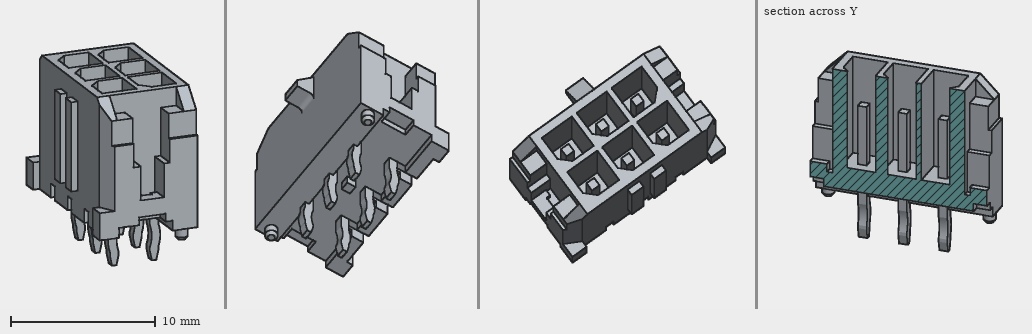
import cadquery as cq


PITCH = 3.0
COLUMNS = 3
COLUMN_XS = [(column - (COLUMNS - 1) / 2) * PITCH for column in range(COLUMNS)]
ROW_YS = [PITCH / 2, -PITCH / 2]

OVERALL_DEPTH = 8.77
OVERALL_HEIGHT = 13.09

WIDTH = 13.15
HALF_WIDTH = WIDTH / 2
BACK_Y = 3.41
FRONT_Y = -3.48
TOP_Z = 9.92
SHELL_HALF_WIDTH = 4.93
POST_HALF_WIDTH = 6.33
SIDE_STEP_Z = 6.73
POST_TOP_Z = 8.54
CORNER_WALL = 0.93

SLOT_BACK_Y = 1.32
SLOT_FRONT_Y = -1.40
SLOT_LEDGE_Z = 5.01
SLOT_NARROW_WIDTH = 1.74
SLOT_FLOOR_Z = 2.53
POCKET_WALL_X = 5.31
POCKET_TONGUE_X = 5.61
POCKET_TONGUE_WIDTH = 0.76
POCKET_DEPTH = 0.6

FRONT_RAISED_Y = -3.97
RAISED_START_Z = 2.0
FOOT_INNER_X = 5.36
BEVEL_SIDE_Y = -2.85
RIB_WIDTH = 1.02
RIB_CENTRE_X = 0.97

CHANNEL_BACK_Y = 1.52
FRONT_WALL = 0.97
CHANNEL_FRONT_Y = FRONT_Y + FRONT_WALL
CHANNEL_HEIGHT = 0.73
END_NOTCH_WIDTH = 2.0
END_NOTCH_TOP_Z = 1.31
END_NOTCH_DEPTH = 1.0
STANDOFF_SIZE = 0.69
TAIL_SLOT_TOP_Z = 1.03

CAVITY_SIZE = 2.58
CAVITY_SHIFT_Y = -0.03
CAVITY_CORNER = 0.74
CAVITY_FLOOR_Z = 2.5

PIN_SIZE = 0.65
PIN_TOP_Z = 7.0
PIN_TIP_Z = TOP_Z - OVERALL_HEIGHT
TIP_WIDTH = 0.33
BEND_START_Z = -0.53
BEND_END_Z = -2.18
TAPER_START_Z = -2.44
BEND_OFFSET = 0.14

PEG_X = 6.0
PEG_Y = 2.43
PEG_DIAMETER = 0.9
PEG_LENGTH = 0.89
PEG_CHAMFER_LENGTH = 0.25
PEG_CHAMFER_WIDTH = 0.2

LATCH_WIDTH = 1.5
LATCH_TIP_Y = FRONT_RAISED_Y + OVERALL_DEPTH
LATCH_TOP_Z = 9.54
LATCH_NOSE_Z = 8.16
LATCH_BOTTOM_Z = 7.44
LATCH_FILLET = 0.37

SIDES = (-1, 1)


def span_box(x_range, y_range, z_range):
    """Box between two X, two Y and two Z planes, each pair in either order."""
    ranges = (x_range, y_range, z_range)
    sizes = [abs(end - start) for start, end in ranges]
    lows = [min(pair) for pair in ranges]
    return cq.Workplane("XY").box(*sizes, centered=False).translate(tuple(lows))


def centred_span(width, centre=0):
    return (centre - width / 2, centre + width / 2)


def housing_block():
    """Stepped front outline with sloped shoulders, extended from front to back."""
    right_side = [
        (HALF_WIDTH, 0),
        (HALF_WIDTH, SIDE_STEP_Z),
        (POST_HALF_WIDTH, SIDE_STEP_Z),
        (POST_HALF_WIDTH, POST_TOP_Z),
        (SHELL_HALF_WIDTH, TOP_Z),
    ]
    left_side = [(-x, z) for x, z in reversed(right_side)]
    outline = cq.Workplane("XZ", origin=(0, BACK_Y, 0)).polyline(right_side + left_side).close()
    return outline.extrude(BACK_Y - FRONT_Y)


def end_slot(side):
    """Stepped slot between the two posts at one end, with the pocket in its floor."""
    x_range = (side * SHELL_HALF_WIDTH, side * HALF_WIDTH)
    narrow_y = centred_span(SLOT_NARROW_WIDTH)
    pocket_z = (SLOT_FLOOR_Z - POCKET_DEPTH, SLOT_FLOOR_Z)
    corner_gap = (FRONT_Y + CORNER_WALL, BACK_Y - CORNER_WALL)
    slot = span_box(x_range, corner_gap, (POST_TOP_Z, TOP_Z))
    slot = slot.union(span_box(x_range, (SLOT_FRONT_Y, SLOT_BACK_Y), (SLOT_LEDGE_Z, TOP_Z)))
    slot = slot.union(span_box(x_range, narrow_y, (SLOT_FLOOR_Z, TOP_Z)))
    for outer_x, y_range in (
        (POCKET_WALL_X, narrow_y),
        (POCKET_TONGUE_X, centred_span(POCKET_TONGUE_WIDTH)),
    ):
        slot = slot.union(span_box((side * SHELL_HALF_WIDTH, side * outer_x), y_range, pocket_z))
    return slot


def corner_bevel(side):
    """Wedge that bevels a front vertical edge above the foot."""
    wedge = [
        (side * FOOT_INNER_X, FRONT_Y),
        (side * HALF_WIDTH, BEVEL_SIDE_Y),
        (side * HALF_WIDTH, FRONT_Y),
    ]
    plane = cq.Workplane("XY", origin=(0, 0, RAISED_START_Z))
    return plane.polyline(wedge).close().extrude(TOP_Z - RAISED_START_Z)


def foot(side):
    x_range = (side * FOOT_INNER_X, side * HALF_WIDTH)
    return span_box(x_range, (FRONT_RAISED_Y, CHANNEL_FRONT_Y), (0, RAISED_START_Z))


def rib(side):
    x_range = centred_span(RIB_WIDTH, side * RIB_CENTRE_X)
    return span_box(x_range, (FRONT_RAISED_Y, FRONT_Y), (RAISED_START_Z, POST_TOP_Z))


def end_notch(side):
    """Opening above the underside channel at one end."""
    x_range = (side * (HALF_WIDTH - END_NOTCH_DEPTH), side * HALF_WIDTH)
    return span_box(x_range, centred_span(END_NOTCH_WIDTH), (0, END_NOTCH_TOP_Z))


def cavity(x, y, keyed_side):
    """Square cavity with its front corner cut off on the keyed side."""
    half = CAVITY_SIZE / 2
    outline = [
        (x - keyed_side * half, y - half),
        (x - keyed_side * half, y + half),
        (x + keyed_side * half, y + half),
        (x + keyed_side * half, y - half + CAVITY_CORNER),
        (x + keyed_side * (half - CAVITY_CORNER), y - half),
    ]
    plane = cq.Workplane("XY", origin=(0, 0, CAVITY_FLOOR_Z))
    return plane.polyline(outline).close().extrude(TOP_Z - CAVITY_FLOOR_Z)


def pin(x, y):
    """Square pin whose tail bows away from the other row and tapers to its tip."""
    half = PIN_SIZE / 2
    half_tip = TIP_WIDTH / 2
    bow = BEND_OFFSET if y > 0 else -BEND_OFFSET
    bow_z = (BEND_START_Z + BEND_END_Z) / 2
    profile = (
        cq.Workplane("YZ", origin=(x - half, 0, 0))
        .moveTo(y - half, PIN_TOP_Z)
        .lineTo(y - half, BEND_START_Z)
        .threePointArc((y - half + bow, bow_z), (y - half, BEND_END_Z))
        .lineTo(y - half, TAPER_START_Z)
        .lineTo(y - half_tip, PIN_TIP_Z)
        .lineTo(y + half_tip, PIN_TIP_Z)
        .lineTo(y + half, TAPER_START_Z)
        .lineTo(y + half, BEND_END_Z)
        .threePointArc((y + half + bow, bow_z), (y + half, BEND_START_Z))
        .lineTo(y + half, PIN_TOP_Z)
        .close()
    )
    return profile.extrude(PIN_SIZE)


def tail_slot(x):
    """Slot through the front wall that exposes a front-row pin tail."""
    return span_box(centred_span(PIN_SIZE, x), (FRONT_Y, min(ROW_YS)), (0, TAIL_SLOT_TOP_Z))


def peg(side):
    peg_body = cq.Workplane("XY").circle(PEG_DIAMETER / 2).extrude(-PEG_LENGTH)
    peg_body = peg_body.faces("<Z").chamfer(PEG_CHAMFER_LENGTH, PEG_CHAMFER_WIDTH)
    return peg_body.translate((side * PEG_X, PEG_Y, 0))


def latch():
    """Ramp on the back wall with a concave fillet beneath it."""
    return (
        cq.Workplane("YZ", origin=(-LATCH_WIDTH / 2, 0, 0))
        .moveTo(BACK_Y, LATCH_TOP_Z)
        .lineTo(LATCH_TIP_Y, LATCH_NOSE_Z)
        .lineTo(LATCH_TIP_Y, LATCH_BOTTOM_Z)
        .lineTo(BACK_Y + LATCH_FILLET, LATCH_BOTTOM_Z)
        .radiusArc((BACK_Y, LATCH_BOTTOM_Z - LATCH_FILLET), -LATCH_FILLET)
        .close()
        .extrude(LATCH_WIDTH)
    )


def standoff():
    """Square block that reaches the seating plane in the middle of the channel."""
    return span_box(centred_span(STANDOFF_SIZE), centred_span(STANDOFF_SIZE), (0, CHANNEL_HEIGHT))


def housing():
    body = housing_block()
    for side in SIDES:
        body = body.cut(end_slot(side)).cut(corner_bevel(side))
        body = body.union(foot(side)).union(rib(side))
    body = body.cut(
        span_box((-HALF_WIDTH, HALF_WIDTH), (CHANNEL_FRONT_Y, CHANNEL_BACK_Y), (0, CHANNEL_HEIGHT))
    )
    for side in SIDES:
        body = body.cut(end_notch(side)).union(peg(side))
    for x in COLUMN_XS:
        body = body.cut(tail_slot(x))
        for y in ROW_YS:
            keyed_side = 1 if (x, y) == (COLUMN_XS[-1], ROW_YS[0]) else -1
            body = body.cut(cavity(x, y + CAVITY_SHIFT_Y, keyed_side))
    return body.union(latch()).union(standoff())


result = housing()
for pin_x in COLUMN_XS:
    for pin_y in ROW_YS:
        result = result.union(pin(pin_x, pin_y))